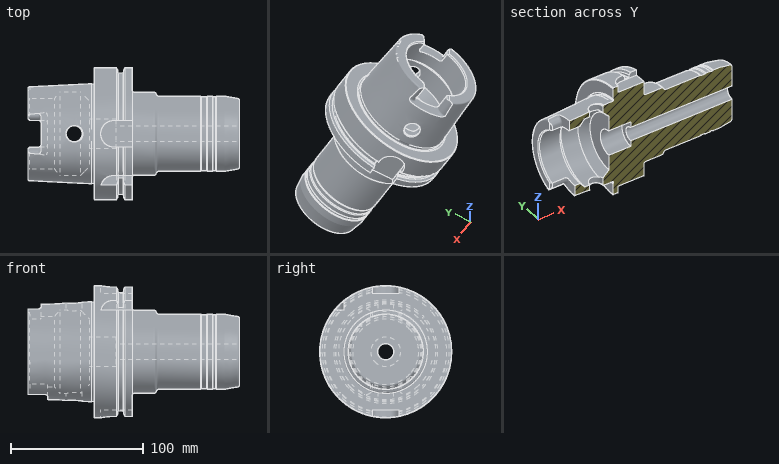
import cadquery as cq
import math

TOTAL_LENGTH = 160.0
FLANGE_FACE_X = 50.0
FLANGE_WIDTH = 29.0
FLANGE_END_X = FLANGE_FACE_X + FLANGE_WIDTH

TAPER_LARGE_RADIUS = 75.8 / 2
TAPER_END_X = 48.0
TAPER_RATIO = 9.98
TAPER_SMALL_RADIUS = TAPER_LARGE_RADIUS - TAPER_END_X / TAPER_RATIO / 2
RIM_ROUND = 1.5
RELIEF_RADIUS = 75.42 / 2
RELIEF_RUN = 0.7
FACE_RECESS_RADIUS = 39.2
FACE_RECESS_DEPTH = 0.5

FLANGE_RADIUS = 100.0 / 2
FLANGE_CHAMFER = 0.5
FLANGE_END_CHAMFER_LENGTH = 1.2
FLANGE_END_CHAMFER_HEIGHT = 0.1
GROOVE_START_X = 68.0
GROOVE_END_X = 72.2
GROOVE_FLOOR_RADIUS = 46.0
GROOVE_MOUTH_RADIUS = 48.0
GROOVE_FLANK_ANGLE = 30.0
GROOVE_CORNER_RADIUS = 0.5

COLLAR_RADIUS = 63.0 / 2
COLLAR_ROOT_FILLET = 1.2
STEP_X = 96.2
STEP_ANGLE = 60.0
STEP_ROUND = 1.6
BODY_RADIUS = 57.0 / 2
RING_FLOOR_RADIUS = 56.0 / 2
RINGS = [(130.4, 135.7, 0.9), (139.5, 142.4, 0.5)]
NOSE_X = 148.7
NOSE_ANGLE = 10.0
NOSE_ROUND = 2.0

MOUTH_RADIUS = 53.0 / 2
MOUTH_CHAMFER_HEIGHT = 0.7
MOUTH_CHAMFER_LENGTH = 1.2
CAVITY_RADIUS = 63.0 / 2
CAVITY_FLARE_X = 20.0
CAVITY_FLARE_ANGLE = 50.0
CAVITY_FLOOR_RADIUS = 24.8
CAVITY_FLOOR_X = 46.5
COUPLING_RADIUS = 22.38 / 2
COUPLING_DEPTH = 20.0
BORE_RADIUS = 12.0 / 2

CROSS_HOLE_X = 35.0
CROSS_HOLE_RADIUS = 12.0 / 2
CROSS_HOLE_SINK_RADIUS = 13.2 / 2

DRIVE_SLOT_HALF_WIDTH = 10.0
UPPER_DRIVE_SLOT_DEPTH = 10.0
LOWER_DRIVE_SLOT_DEPTH = 15.0
DRIVE_SLOT_SHOULDER_Z = 32.4
DRIVE_SLOT_SHOULDER_ROUND = 5.0
DRIVE_SLOT_FLOOR_FILLET = 2.0
DRIVE_SLOT_CHAMFER = 1.55

KEYWAY_WIDTH = 20.0
KEYWAY_FLOOR_Z = 44.0
KEYWAY_END_X = 55.0
NOTCH_OFFSET = 31.5
NOTCH_CUTTER_RADIUS = 10.0
NOTCH_END_X = 54.9

CLEARANCE = 5.0


def tan_deg(angle):
    return math.tan(math.radians(angle))


def flange_groove(profile):
    """Trace the gripper groove of the flange on the outer profile."""
    flank = (FLANGE_RADIUS - GROOVE_MOUTH_RADIUS) * tan_deg(GROOVE_FLANK_ANGLE)
    corner = GROOVE_CORNER_RADIUS
    return (
        profile.lineTo(GROOVE_START_X - flank, FLANGE_RADIUS)
        .lineTo(GROOVE_START_X, GROOVE_MOUTH_RADIUS)
        .lineTo(GROOVE_START_X, GROOVE_FLOOR_RADIUS + corner)
        .radiusArc((GROOVE_START_X + corner, GROOVE_FLOOR_RADIUS), -corner)
        .lineTo(GROOVE_END_X - corner, GROOVE_FLOOR_RADIUS)
        .radiusArc((GROOVE_END_X, GROOVE_FLOOR_RADIUS + corner), -corner)
        .lineTo(GROOVE_END_X, GROOVE_MOUTH_RADIUS)
        .lineTo(GROOVE_END_X + flank, FLANGE_RADIUS)
    )


def conical_step(profile):
    """Trace the rounded cone from the collar down to the chuck body."""
    end_x = STEP_X + (COLLAR_RADIUS - BODY_RADIUS) / tan_deg(STEP_ANGLE)
    tangent = STEP_ROUND * tan_deg(STEP_ANGLE / 2)
    along = tangent * math.cos(math.radians(STEP_ANGLE))
    down = tangent * math.sin(math.radians(STEP_ANGLE))
    return (
        profile.lineTo(STEP_X - tangent, COLLAR_RADIUS)
        .radiusArc((STEP_X + along, COLLAR_RADIUS - down), STEP_ROUND)
        .lineTo(end_x - along, BODY_RADIUS + down)
        .radiusArc((end_x + tangent, BODY_RADIUS), -STEP_ROUND)
    )


def ring_grooves(profile):
    """Trace the shallow rings around the chuck body."""
    for start, end, flank in RINGS:
        profile = (
            profile.lineTo(start, BODY_RADIUS)
            .lineTo(start + flank, RING_FLOOR_RADIUS)
            .lineTo(end - flank, RING_FLOOR_RADIUS)
            .lineTo(end, BODY_RADIUS)
        )
    return profile


def nose(profile):
    """Trace the tapered nose and its rounded front edge, down to the axis."""
    angle = math.radians(NOSE_ANGLE)
    round_x = TOTAL_LENGTH - NOSE_ROUND + NOSE_ROUND * math.sin(angle)
    round_radius = BODY_RADIUS - (round_x - NOSE_X) * math.tan(angle)
    face_radius = round_radius - NOSE_ROUND * math.cos(angle)
    return (
        profile.lineTo(NOSE_X, BODY_RADIUS)
        .lineTo(round_x, round_radius)
        .radiusArc((TOTAL_LENGTH, face_radius), NOSE_ROUND)
        .lineTo(TOTAL_LENGTH, 0)
    )


def outer_body():
    """Solid of revolution about X with the complete outer contour."""
    rim_radius = TAPER_SMALL_RADIUS + RIM_ROUND / TAPER_RATIO / 2
    recess_x = FLANGE_FACE_X + FACE_RECESS_DEPTH
    profile = (
        cq.Workplane("XY")
        .moveTo(0, 0)
        .lineTo(0, rim_radius - RIM_ROUND)
        .radiusArc((RIM_ROUND, rim_radius), RIM_ROUND)
        .lineTo(TAPER_END_X, TAPER_LARGE_RADIUS)
        .lineTo(TAPER_END_X + RELIEF_RUN, RELIEF_RADIUS)
        .lineTo(recess_x, RELIEF_RADIUS)
        .lineTo(recess_x, FACE_RECESS_RADIUS)
        .lineTo(FLANGE_FACE_X, FACE_RECESS_RADIUS)
        .lineTo(FLANGE_FACE_X, FLANGE_RADIUS - FLANGE_CHAMFER)
        .lineTo(FLANGE_FACE_X + FLANGE_CHAMFER, FLANGE_RADIUS)
    )
    profile = (
        flange_groove(profile)
        .lineTo(FLANGE_END_X - FLANGE_END_CHAMFER_LENGTH, FLANGE_RADIUS)
        .lineTo(FLANGE_END_X, FLANGE_RADIUS - FLANGE_END_CHAMFER_HEIGHT)
        .lineTo(FLANGE_END_X, COLLAR_RADIUS + COLLAR_ROOT_FILLET)
        .radiusArc((FLANGE_END_X + COLLAR_ROOT_FILLET, COLLAR_RADIUS), -COLLAR_ROOT_FILLET)
    )
    profile = nose(ring_grooves(conical_step(profile)))
    return profile.close().revolve(360, (0, 0, 0), (1, 0, 0))


def clamping_cavity():
    """Cavity behind the rim, the coupling bore and the through bore."""
    flare_end_x = CAVITY_FLARE_X + (CAVITY_RADIUS - MOUTH_RADIUS) / tan_deg(CAVITY_FLARE_ANGLE)
    floor_cone = CAVITY_RADIUS - CAVITY_FLOOR_RADIUS
    coupling_end_x = CAVITY_FLOOR_X + COUPLING_DEPTH
    return (
        cq.Workplane("XY")
        .moveTo(0, 0)
        .lineTo(0, MOUTH_RADIUS + MOUTH_CHAMFER_HEIGHT)
        .lineTo(MOUTH_CHAMFER_LENGTH, MOUTH_RADIUS)
        .lineTo(CAVITY_FLARE_X, MOUTH_RADIUS)
        .lineTo(flare_end_x, CAVITY_RADIUS)
        .lineTo(CAVITY_FLOOR_X - floor_cone, CAVITY_RADIUS)
        .lineTo(CAVITY_FLOOR_X, CAVITY_FLOOR_RADIUS)
        .lineTo(CAVITY_FLOOR_X, COUPLING_RADIUS)
        .lineTo(coupling_end_x, COUPLING_RADIUS)
        .lineTo(coupling_end_x, BORE_RADIUS)
        .lineTo(TOTAL_LENGTH + CLEARANCE, BORE_RADIUS)
        .lineTo(TOTAL_LENGTH + CLEARANCE, 0)
        .close()
        .revolve(360, (0, 0, 0), (1, 0, 0))
    )


def cross_hole():
    """Vertical hole through both taper walls, with its rims countersunk."""
    wall_radius = TAPER_SMALL_RADIUS + CROSS_HOLE_X / TAPER_RATIO / 2
    sink_depth = CROSS_HOLE_SINK_RADIUS - CROSS_HOLE_RADIUS
    half = (
        cq.Workplane("XZ", origin=(CROSS_HOLE_X, 0, 0))
        .moveTo(0, 0)
        .lineTo(CROSS_HOLE_RADIUS, 0)
        .lineTo(CROSS_HOLE_RADIUS, wall_radius - sink_depth)
        .lineTo(CROSS_HOLE_SINK_RADIUS, wall_radius)
        .lineTo(CROSS_HOLE_SINK_RADIUS, wall_radius + CLEARANCE)
        .lineTo(0, wall_radius + CLEARANCE)
        .close()
        .revolve(360, (0, 0, 0), (0, 1, 0))
    )
    return half.union(half.mirror("XY"))


def drive_slot(depth):
    """Cutter for the upper drive slot: a T-shaped opening with rounded shoulders."""
    half_width = DRIVE_SLOT_HALF_WIDTH
    shoulder_y = half_width + DRIVE_SLOT_SHOULDER_ROUND
    outer_y = 2 * half_width
    top_z = TAPER_LARGE_RADIUS + CLEARANCE
    bottom_z = MOUTH_RADIUS / 2
    round_start_z = DRIVE_SLOT_SHOULDER_Z - DRIVE_SLOT_SHOULDER_ROUND
    opening = (
        cq.Workplane("YZ", origin=(-CLEARANCE, 0, 0))
        .moveTo(-half_width, bottom_z)
        .lineTo(half_width, bottom_z)
        .lineTo(half_width, round_start_z)
        .radiusArc((shoulder_y, DRIVE_SLOT_SHOULDER_Z), DRIVE_SLOT_SHOULDER_ROUND)
        .lineTo(outer_y, DRIVE_SLOT_SHOULDER_Z)
        .lineTo(outer_y, top_z)
        .lineTo(-outer_y, top_z)
        .lineTo(-outer_y, DRIVE_SLOT_SHOULDER_Z)
        .lineTo(-shoulder_y, DRIVE_SLOT_SHOULDER_Z)
        .radiusArc((-half_width, round_start_z), DRIVE_SLOT_SHOULDER_ROUND)
        .close()
        .extrude(CLEARANCE + depth)
        .faces(">X")
        .edges()
        .fillet(DRIVE_SLOT_FLOOR_FILLET)
    )
    entry = (
        cq.Workplane("XY", origin=(0, 0, bottom_z))
        .moveTo(0, half_width + DRIVE_SLOT_CHAMFER)
        .lineTo(DRIVE_SLOT_CHAMFER, half_width)
        .lineTo(DRIVE_SLOT_CHAMFER, -half_width)
        .lineTo(0, -half_width - DRIVE_SLOT_CHAMFER)
        .close()
        .extrude(DRIVE_SLOT_SHOULDER_Z - bottom_z)
    )
    return opening.union(entry)


def end_milled_pocket(center_x, center_y, radius, floor_z):
    """Cutter with a round end toward -X that runs out past the flange end."""
    height = FLANGE_RADIUS + CLEARANCE - floor_z
    run = FLANGE_END_X - center_x
    plane = cq.Workplane("XY", origin=(center_x, center_y, floor_z))
    round_end = plane.circle(radius).extrude(height)
    straight = plane.center(run / 2, 0).rect(run, 2 * radius).extrude(height)
    return round_end.union(straight)


def keyway():
    """Cutter for the flat, round-ended keyway at the top of the flange."""
    radius = KEYWAY_WIDTH / 2
    return end_milled_pocket(KEYWAY_END_X + radius, 0, radius, KEYWAY_FLOOR_Z)


def orientation_notch():
    """Cutter for the right-angled notch at the -Y, +Z corner of the flange."""
    radius = NOTCH_CUTTER_RADIUS
    return end_milled_pocket(NOTCH_END_X + radius, -NOTCH_OFFSET - radius, radius, NOTCH_OFFSET)


result = outer_body().cut(clamping_cavity()).cut(cross_hole())
result = result.cut(drive_slot(UPPER_DRIVE_SLOT_DEPTH))
result = result.cut(drive_slot(LOWER_DRIVE_SLOT_DEPTH).mirror("XY"))
result = result.cut(keyway()).cut(keyway().mirror("XY"))
result = result.cut(orientation_notch())